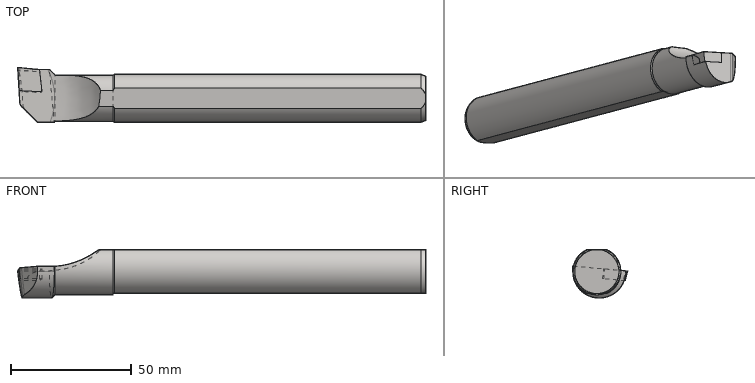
import cadquery as cq
import math

overall_length = 170.0
shank_radius = 10.0
flat_spacing = 18.2
flat_height = flat_spacing / 2
shank_start = 40.5
end_chamfer_length = 2.0
end_chamfer_depth = 0.8

neck_radius = 9.7
neck_start = 15.6
neck_step_length = 0.7

head_radius = 11.0
head_offset = head_radius - shank_radius
head_top = 5.1

tip_y = 12.9
front_skew = 0.06
corner_y = -2.7
corner_radius = 2.5
front_clearance = 0.11
body_depth = 23.8

rake_tilt = 5.0
rake_height = 1.4
floor_end = 15.5
floor_radius = 27.2
scoop_radius = 26.8
scoop_rise = 15.3

insert_corners = [(0, tip_y), (9.2, 12.0), (10.2, 2.7), (front_skew * (tip_y - 3.2), 3.2)]
insert_thickness = 4.0
insert_clearance = 0.7
insert_corner_radius = 0.7


def on_rake_plane(shape):
    """Move a shape modelled on the XY plane onto the tilted rake plane."""
    return shape.rotate((0, 0, 0), (1, 0, 0), -rake_tilt).translate((0, 0, rake_height))


def make_shank():
    chamfer_start = overall_length - end_chamfer_length
    bar = (
        cq.Workplane("XY")
        .moveTo(shank_start - neck_step_length, 0)
        .lineTo(shank_start - neck_step_length, neck_radius)
        .lineTo(shank_start, shank_radius)
        .lineTo(chamfer_start, shank_radius)
        .lineTo(overall_length, shank_radius - end_chamfer_depth)
        .lineTo(overall_length, 0)
        .close()
        .revolve(360, (0, 0, 0), (1, 0, 0))
    )
    flats = cq.Workplane("XY").box(
        2 * overall_length, 2 * shank_radius, 2 * flat_height
    )
    return bar.intersect(flats)


def make_neck():
    neck_length = shank_start - neck_step_length - neck_start
    bar = cq.Workplane("YZ", origin=(neck_start, 0, 0)).circle(neck_radius).extrude(neck_length)
    top_flat = cq.Workplane("XY", origin=(0, 0, flat_height)).rect(
        2 * overall_length, 2 * shank_radius
    ).extrude(shank_radius)
    return bar.cut(top_flat)


def make_head_bar():
    """Half-round bar with upright sides, coned at the back down to the neck."""
    left = head_offset + head_radius
    right = head_offset - head_radius
    bar = (
        cq.Workplane("YZ")
        .moveTo(right, 0)
        .threePointArc((head_offset, -head_radius), (left, 0))
        .lineTo(left, head_top)
        .lineTo(right, head_top)
        .close()
        .extrude(neck_start)
    )
    back_cone = (
        cq.Workplane("XY")
        .lineTo(0, neck_radius + neck_start)
        .lineTo(neck_start, neck_radius)
        .lineTo(neck_start, 0)
        .close()
        .revolve(360, (0, 0, 0), (1, 0, 0))
    )
    return bar.intersect(back_cone)


def make_front_envelope():
    """Prism bounded by the end face and the corner cut, leaning back with depth."""
    reach = 2 * tip_y
    corner_x = front_skew * (tip_y - corner_y)
    outline = (
        cq.Workplane("XY", origin=(-front_clearance * head_top, 0, head_top))
        .moveTo(front_skew * (tip_y - reach), reach)
        .lineTo(corner_x, corner_y)
        .lineTo(corner_x + reach, corner_y - reach)
        .lineTo(corner_x + reach, reach)
        .close()
    )
    lean = cq.Vector(front_clearance, 0, -1) * body_depth
    prism = cq.Workplane(cq.Solid.extrudeLinear(outline.val(), [], lean))
    middle_depth = body_depth / 2 - head_top
    corner_edge = cq.selectors.NearestToPointSelector(
        (corner_x + front_clearance * middle_depth, corner_y, -middle_depth)
    )
    return on_rake_plane(prism.edges(corner_edge).fillet(corner_radius))


def make_scoop():
    axis_x = floor_end - floor_radius
    turn = math.acos(1 - scoop_rise / scoop_radius)
    middle = (
        floor_end + scoop_radius * math.sin(turn / 2),
        scoop_radius * (1 - math.cos(turn / 2)),
    )
    rim_x = floor_end + scoop_radius * math.sin(turn)
    cutter = (
        cq.Workplane("XZ")
        .moveTo(axis_x, 0)
        .lineTo(floor_end, 0)
        .threePointArc(middle, (rim_x, scoop_rise))
        .lineTo(axis_x, scoop_rise)
        .close()
        .revolve(360, (axis_x, 0, 0), (axis_x, 1, 0))
    )
    return on_rake_plane(cutter)


def make_insert():
    front_shift = front_clearance * insert_thickness
    tip, back, inner, front = insert_corners
    bottom_corners = [
        (tip[0] + front_shift + front_skew * insert_clearance, tip[1] - insert_clearance),
        (back[0], back[1] - insert_clearance),
        inner,
        (front[0] + front_shift, front[1]),
    ]
    plate = (
        cq.Workplane("XY")
        .polyline(insert_corners)
        .close()
        .workplane(offset=-insert_thickness)
        .polyline(bottom_corners)
        .close()
        .loft(ruled=True)
    )
    inner_edge = cq.selectors.NearestToPointSelector((*inner, -insert_thickness / 2))
    return on_rake_plane(plate.edges(inner_edge).fillet(insert_corner_radius))


def make_holder(insert):
    head = make_head_bar().intersect(make_front_envelope())
    blank = make_shank().union(make_neck()).union(head)
    return blank.cut(make_scoop()).cut(insert)


insert = make_insert()
holder = make_holder(insert)

result = cq.Compound.makeCompound([holder.solids().val(), insert.solids().val()])